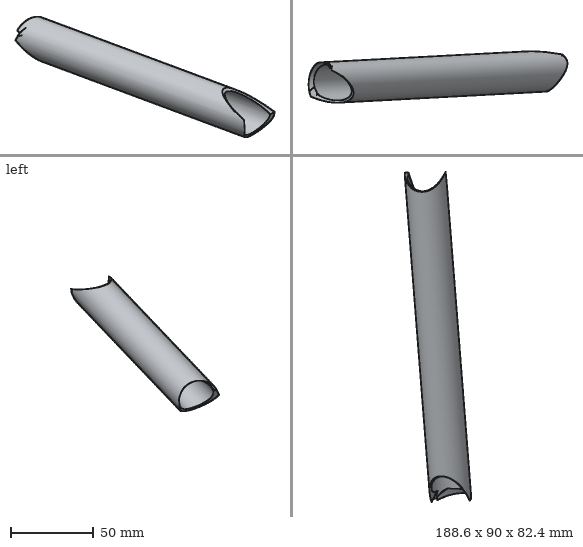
import cadquery as cq

tube_radius = 12.6
wall = 1.5
overrun = 37.7
cutter_length = 150.9

lower_joint = cq.Vector(3.0, 11.3, 6.2)
upper_joint = cq.Vector(192.4, 80.7, 79.2)

level_tube_end = 5.8
brace_direction = cq.Vector(0.73, -0.06, -0.68)
brace_overlap = 1.9

rail_direction = cq.Vector(0.963, 0.145, -0.225)
post_direction = cq.Vector(-0.23, 0.083, 0.97)
post_point = cq.Vector(191.6, 80.0, 75.5)
post_radius = 14.5


def rod(start, direction, length, radius):
    """Solid cylinder from a start point along a direction."""
    plane = cq.Plane(origin=start, normal=direction)
    return cq.Workplane(plane).circle(radius).extrude(length)


def rod_through(point, direction, radius):
    """Solid cylinder running well past a point both ways."""
    start = point - direction.normalized() * cutter_length
    return rod(start, direction, 2 * cutter_length, radius)


def straight_tube():
    """Uncoped tube along the line between the joint centres."""
    span = upper_joint - lower_joint
    direction = span.normalized()
    start = lower_joint - direction * overrun
    length = span.Length + 2 * overrun
    outside = rod(start, direction, length, tube_radius)
    return outside.cut(rod(start, direction, length, tube_radius - wall))


def cope_lower_end(tube):
    level_start = cq.Vector(level_tube_end, lower_joint.y, lower_joint.z)
    level_tube = rod(level_start, cq.Vector(-1, 0, 0), cutter_length, tube_radius)
    brace_start = lower_joint - brace_direction.normalized() * brace_overlap
    brace = rod(brace_start, brace_direction, cutter_length, tube_radius)
    return tube.cut(level_tube).cut(brace)


def cope_upper_end(tube):
    post = rod_through(post_point, post_direction, post_radius)
    rail = rod_through(upper_joint, rail_direction, tube_radius)
    return tube.cut(post).cut(rail)


coped_tube = cope_upper_end(cope_lower_end(straight_tube()))

result = coped_tube.solids().sort(lambda piece: -piece.Volume())[0]